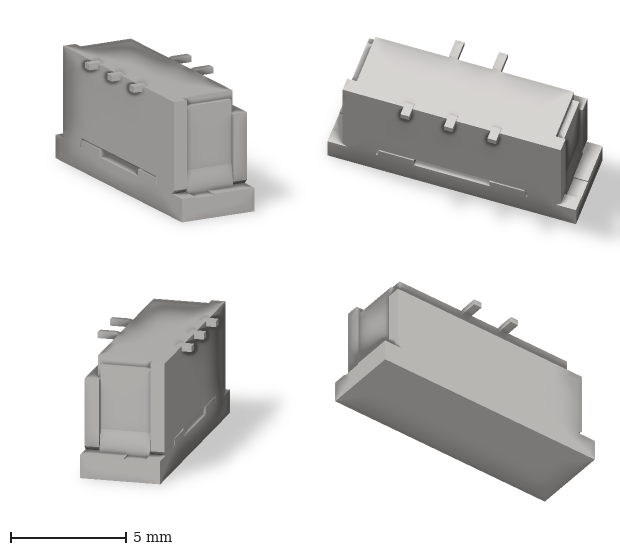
import cadquery as cq
import math

length = 11.4
base_depth = 3.6
base_height = 1.06
overall_height = 5.3
lead_span = 4.5

housing_length = 10.01
housing_top = 5.25
core_length = 9.12
core_back = 1.32
front_wall = 0.63
back_wall = 0.65
back_wall_top = 4.31
corner_chamfer = 0.19

latch_front = -1.14
latch_back = 1.12
latch_top = 4.92
latch_face = 4.87
flare_face = 5.04
flare_start = 2.05

groove_drop = 0.07
groove_back = -0.17

tongue_bottom_width = 6.82
tongue_top_width = 6.66
tongue_top = 1.4
notch_bottom_width = 6.98
notch_top_width = 6.73
notch_top = 1.5
window_width = 3.47

lead_width = 0.4
lead_thickness = 0.27
lead_pitch = 2.0
lead_root = 0.91
front_bend_start = 1.65
front_bend_radius = 0.01
back_bend_start = 1.54
back_bend_radius = 0.23

front_face = -base_depth / 2
back_face = base_depth / 2


def block(x_size, y_min, y_max, z_min, z_max):
    """Box centred on X = 0 between the given Y and Z limits."""
    return (
        cq.Workplane("XY")
        .box(x_size, y_max - y_min, z_max - z_min, centered=(True, False, False))
        .translate((0, y_min, z_min))
    )


def front_trapezoid(bottom_width, top_width, z_top):
    """Tapered prism on the base, as deep as the front wall."""
    outline = [
        (-bottom_width / 2, base_height),
        (bottom_width / 2, base_height),
        (top_width / 2, z_top),
        (-top_width / 2, z_top),
    ]
    return (
        cq.Workplane("XZ", origin=(0, front_face, 0))
        .polyline(outline)
        .close()
        .extrude(-front_wall)
    )


def make_wall(y_min, y_max, z_max):
    """Long housing wall with its two lower end corners chamfered."""
    wall = block(housing_length, y_min, y_max, base_height, z_max)
    return wall.edges("|Y and <Z").chamfer(corner_chamfer)


def make_base():
    base = block(length, front_face, back_face, 0, base_height)
    groove_length = (length - core_length) / 2
    groove = block(groove_length, latch_front, groove_back, base_height - groove_drop, base_height)
    for side in (-1, 1):
        base = base.cut(groove.translate((side * (length - groove_length) / 2, 0, 0)))
    return base


def make_tongue():
    tongue = front_trapezoid(tongue_bottom_width, tongue_top_width, tongue_top)
    window = block(window_width, front_face, front_face + front_wall, base_height, tongue_top)
    return tongue.cut(window)


def make_housing():
    inner_front = front_face + front_wall
    inner_back = back_face - back_wall
    front = make_wall(front_face, inner_front, housing_top)
    front = front.cut(front_trapezoid(notch_bottom_width, notch_top_width, notch_top))
    back = make_wall(inner_back, back_face, back_wall_top)
    core = block(core_length, inner_front, core_back, base_height, housing_top)
    return front.union(core).union(back)


def make_latches():
    """Both latches, one profile each: upright above and flared outward below."""
    latch_bottom = base_height - groove_drop
    outline = [
        (core_length / 2, latch_bottom),
        (flare_face, latch_bottom),
        (latch_face, flare_start),
        (latch_face, latch_top),
        (core_length / 2, latch_top),
    ]
    right = (
        cq.Workplane("XZ", origin=(0, latch_front, 0))
        .polyline(outline)
        .close()
        .extrude(latch_front - latch_back)
    )
    return right.union(right.mirror("YZ"))


def make_lead(x, direction, bend_start, inner_radius):
    """Lead that runs out flat along Y and bends down a quarter turn into the core."""
    outer_radius = inner_radius + lead_thickness
    tip = lead_span / 2
    bend_z = overall_height - outer_radius
    root_z = bend_z - lead_root
    diagonal = math.sqrt(0.5)

    def point(y, z):
        return (direction * y, z)

    def bend_middle(radius):
        return point(bend_start - radius * diagonal, bend_z + radius * diagonal)

    return (
        cq.Workplane("YZ", origin=(x - lead_width / 2, 0, 0))
        .moveTo(*point(tip, overall_height))
        .lineTo(*point(bend_start, overall_height))
        .threePointArc(bend_middle(outer_radius), point(bend_start - outer_radius, bend_z))
        .lineTo(*point(bend_start - outer_radius, root_z))
        .lineTo(*point(bend_start - inner_radius, root_z))
        .lineTo(*point(bend_start - inner_radius, bend_z))
        .threePointArc(bend_middle(inner_radius), point(bend_start, bend_z + inner_radius))
        .lineTo(*point(tip, bend_z + inner_radius))
        .close()
        .extrude(lead_width)
    )


result = make_base().union(make_tongue()).union(make_housing()).union(make_latches())

for step in (-1, 0, 1):
    result = result.union(make_lead(step * lead_pitch, -1, front_bend_start, front_bend_radius))
for step in (-0.5, 0.5):
    result = result.union(make_lead(step * lead_pitch, 1, back_bend_start, back_bend_radius))